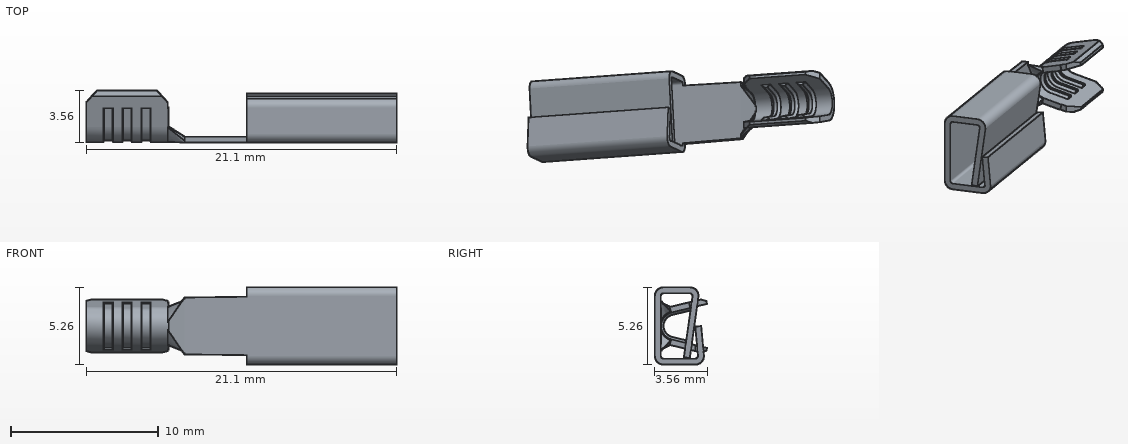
import cadquery as cq
import math


total_length = 21.08
total_depth = 3.56
half_height = 5.26 / 2
sheet = 0.42
barrel_sheet = 0.40

barrel_length = 5.54
plate_start = 6.68
channel_start = 10.89

barrel_radius = 1.34
barrel_offset = 0.025
barrel_center_y = barrel_offset + barrel_radius
arm_flare = math.radians(13.5)
arm_bevel_y = 3.14
arm_tip_thickness = 0.20
corner_cut_length = 0.75
corner_cut_y = 2.74
lip_length = 0.06
groove_top_y = 2.32

groove_count = 3
groove_start = 1.18
groove_width = 0.65
groove_pitch = 1.28
groove_slant = 0.05
groove_depth = 0.12
rib_height = 0.18
rib_slant = 0.20

neck_flat_half_width = 0.26
neck_edge_half_width = 1.75
neck_edge_y = 0.13
neck_inner_half_width = 1.72
neck_corner_width = 0.03
plate_start_half_width = 1.94
plate_end_half_width = 1.99

bend_radius = 0.60
long_leaf_bend_y = 2.38
long_leaf_lean = math.radians(8.0)
short_leaf_bend_y = 2.75
short_leaf_lean = math.radians(5.3)
short_leaf_tip_z = 0.0
long_leaf_gap = 0.02


def cross_plane(x):
    return cq.Workplane("YZ", origin=(x, 0, 0))


def barrel_point(radius, run, side=1):
    """Point at distance run along a flared arm whose face is tangent to the given radius."""
    y = barrel_center_y - radius * math.sin(arm_flare) + run * math.cos(arm_flare)
    z = radius * math.cos(arm_flare) + run * math.sin(arm_flare)
    return (y, side * z)


def run_to(radius, y):
    """Distance along the arm face at which it reaches the given Y."""
    return (y - barrel_center_y) / math.cos(arm_flare) + radius * math.tan(arm_flare)


def draw_band(plane, outer_radius, inner_radius, outer_run, inner_run, tip_radius):
    """U-shaped outline; each arm ends square from inner_radius to tip_radius, then bevels outward."""
    return (
        plane
        .moveTo(*barrel_point(outer_radius, outer_run))
        .lineTo(*barrel_point(outer_radius, 0))
        .threePointArc((barrel_center_y - outer_radius, 0), barrel_point(outer_radius, 0, -1))
        .lineTo(*barrel_point(outer_radius, outer_run, -1))
        .lineTo(*barrel_point(tip_radius, inner_run, -1))
        .lineTo(*barrel_point(inner_radius, inner_run, -1))
        .lineTo(*barrel_point(inner_radius, 0, -1))
        .threePointArc((barrel_center_y - inner_radius, 0), barrel_point(inner_radius, 0))
        .lineTo(*barrel_point(inner_radius, inner_run))
        .lineTo(*barrel_point(tip_radius, inner_run))
        .close()
    )


def draw_groove_band(plane, outer_radius, inner_radius):
    """U-shaped outline with plain arm ends at the groove height."""
    run = run_to(barrel_radius, groove_top_y)
    middle_radius = (outer_radius + inner_radius) / 2
    return draw_band(plane, outer_radius, inner_radius, run, run, middle_radius)


def sloped_band(outer_radius, edge_radius, crest_radius, slant, x):
    """Band across one groove whose inner face slopes from edge_radius at both sides to crest_radius."""
    crest = draw_groove_band(cross_plane(x + slant), outer_radius, crest_radius)
    band = crest.extrude(groove_width - 2 * slant)
    for edge_x, crest_offset in ((x, slant), (x + groove_width, -slant)):
        edge = draw_groove_band(cross_plane(edge_x), outer_radius, edge_radius)
        side = draw_groove_band(edge.workplane(offset=crest_offset), outer_radius, crest_radius)
        band = band.union(side.loft(ruled=True))
    return band


def corner_cutter(end_x, direction):
    """Triangular prism trimming both arms at one end of the barrel."""
    return (
        cq.Workplane("XY")
        .polyline([
            (end_x, corner_cut_y),
            (end_x + direction * corner_cut_length, total_depth),
            (end_x, total_depth),
        ])
        .close()
        .extrude(half_height, both=True)
    )


def make_barrel():
    inner_radius = barrel_radius - barrel_sheet
    barrel = draw_band(
        cross_plane(0),
        barrel_radius,
        inner_radius,
        run_to(barrel_radius, arm_bevel_y),
        run_to(inner_radius, total_depth),
        inner_radius + arm_tip_thickness,
    ).extrude(barrel_length)
    barrel = barrel.cut(corner_cutter(0, 1)).cut(corner_cutter(barrel_length, -1))
    lip = draw_groove_band(cross_plane(barrel_length), barrel_radius, inner_radius).extrude(lip_length)
    return barrel.union(lip)


def add_grooves(barrel):
    """Press each groove into the outside and raise the matching rib inside."""
    floor_radius = barrel_radius - groove_depth
    inner_radius = barrel_radius - barrel_sheet
    clear_radius = barrel_radius + groove_depth
    for index in range(groove_count):
        x = groove_start + index * groove_pitch
        groove = sloped_band(clear_radius, barrel_radius, floor_radius, groove_slant, x)
        rib = sloped_band(floor_radius, inner_radius, inner_radius - rib_height, rib_slant, x)
        barrel = barrel.cut(groove).union(rib)
    return barrel


def neck_arc_points(radius):
    """End, middle and flat-edge points of one upper quarter of the round barrel bottom."""
    flat_angle = math.asin(neck_flat_half_width / barrel_radius)
    end_angle = math.pi / 2 - arm_flare
    angles = (end_angle, (end_angle + flat_angle) / 2, flat_angle)
    return [(barrel_center_y - radius * math.cos(a), radius * math.sin(a)) for a in angles]


def make_neck():
    """Folded transition from the round barrel bottom to the flat plate."""
    outer_end, outer_mid, outer_flat = neck_arc_points(barrel_radius)
    inner_end, inner_mid, inner_flat = neck_arc_points(barrel_radius - barrel_sheet)

    def below(point):
        return (point[0], -point[1])

    corner = (0, plate_start_half_width)
    outer_edge = (neck_edge_y, neck_edge_half_width)
    inner_edge = (sheet, neck_inner_half_width)
    inner_corner = (sheet, neck_inner_half_width - neck_corner_width)
    return (
        cross_plane(barrel_length)
        .moveTo(*outer_end)
        .threePointArc(outer_mid, outer_flat)
        .lineTo(*below(outer_flat))
        .threePointArc(below(outer_mid), below(outer_end))
        .lineTo(*below(inner_end))
        .threePointArc(below(inner_mid), below(inner_flat))
        .lineTo(*inner_flat)
        .threePointArc(inner_mid, inner_end)
        .close()
        .workplane(offset=plate_start - barrel_length)
        .polyline([
            outer_edge,
            corner,
            below(corner),
            below(outer_edge),
            below(inner_edge),
            below(inner_corner),
            inner_corner,
            inner_edge,
        ])
        .close()
        .loft(ruled=True)
    )


def make_plate():
    return (
        cq.Workplane("XZ")
        .polyline([
            (plate_start, plate_start_half_width),
            (channel_start, plate_end_half_width),
            (channel_start, -plate_end_half_width),
            (plate_start, -plate_start_half_width),
        ])
        .close()
        .extrude(-sheet)
    )


def half_channel(bend_y, lean, tip_z):
    """Upper half of the channel: back wall, top wall and a leaning, square-cut front leaf."""
    bend_z = half_height - bend_radius
    inner_radius = bend_radius - sheet

    def back_bend(radius, angle):
        return (bend_radius - radius * math.cos(angle), bend_z + radius * math.sin(angle))

    def leaf_bend(radius, angle):
        return (bend_y + radius * math.cos(angle), bend_z + radius * math.sin(angle))

    leaf_length = (bend_z - tip_z) / math.cos(lean)
    tip_y = bend_y + bend_radius - leaf_length * math.sin(lean)
    outer_tip = (tip_y, tip_z)
    inner_tip = (tip_y - sheet * math.cos(lean), tip_z + sheet * math.sin(lean))
    top = math.pi / 2
    middle = top / 2
    return (
        cross_plane(channel_start)
        .moveTo(0, 0)
        .lineTo(*back_bend(bend_radius, 0))
        .threePointArc(back_bend(bend_radius, middle), back_bend(bend_radius, top))
        .lineTo(*leaf_bend(bend_radius, top))
        .threePointArc(leaf_bend(bend_radius, middle), leaf_bend(bend_radius, 0))
        .lineTo(*outer_tip)
        .lineTo(*inner_tip)
        .lineTo(*leaf_bend(inner_radius, 0))
        .threePointArc(leaf_bend(inner_radius, middle), leaf_bend(inner_radius, top))
        .lineTo(*back_bend(inner_radius, top))
        .threePointArc(back_bend(inner_radius, middle), back_bend(inner_radius, 0))
        .lineTo(sheet, 0)
        .close()
        .extrude(total_length - channel_start)
    )


def make_channel():
    """Channel whose long leaf reaches almost to the bottom wall, inside the short leaf."""
    long_leaf_tip_z = sheet + long_leaf_gap - half_height
    upper = half_channel(long_leaf_bend_y, long_leaf_lean, long_leaf_tip_z)
    lower = half_channel(short_leaf_bend_y, short_leaf_lean, short_leaf_tip_z).mirror("XY")
    return upper.union(lower)


result = add_grooves(make_barrel())
result = result.union(make_neck()).union(make_plate()).union(make_channel()).clean()